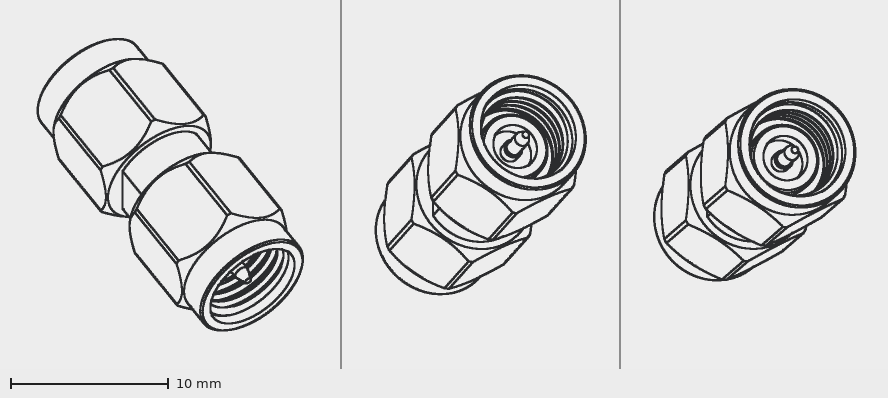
import cadquery as cq
import math

length = 19.3
half_length = length / 2

rim_dia = 7.75
rim_length = 2.0
rim_chamfer = 0.12
hex_flats = 7.93
hex_corner_dia = 9.0
hex_chamfer_length = 0.73
nut_length = 8.38

neck_dia = 6.8
neck_flats = 5.54

thread_major_dia = 6.35
thread_groove_dia = 6.31
thread_minor_dia = 5.6
thread_lead_in = 0.71
lead_in_cone_length = 0.39
thread_pitch = 0.7
thread_root = 0.14
thread_flank_angle = 30.0
thread_overlap = 0.02
thread_start_depth = 0.62
thread_turns = 4.0
socket_depth = 3.67

conductor_dia = 4.44
conductor_chamfer = 0.14
conductor_face_depth = 2.68
recess_dia = 2.91
recess_depth = 1.15

pin_dia = 0.95
pin_tip_dia = 0.45
pin_tip_depth = 0.52
pin_taper_length = 0.77
pin_shoulder_dia = 1.2
pin_shoulder_chamfer = 0.1
pin_shoulder_depth = conductor_face_depth + 0.29


def cylinder(diameter, start, end):
    """Solid cylinder on the X axis between two X positions."""
    return cq.Workplane("YZ", origin=(start, 0, 0)).circle(diameter / 2).extrude(end - start)


def revolve_profile(points):
    """Solid of revolution about the X axis from (x, radius) points."""
    return cq.Workplane("XY").polyline(points).close().revolve(360, (0, 0, 0), (1, 0, 0))


def make_nut_blank(face):
    """Hexagon with conically chamfered corners and a round rim at the open end."""
    hex_start = face + rim_length
    nut_end = face + nut_length
    across_corners = hex_flats / math.cos(math.pi / 6)
    hexagon = (
        cq.Workplane("YZ", origin=(hex_start, 0, 0))
        .transformed(rotate=(0, 0, 90))
        .polygon(6, across_corners)
        .extrude(nut_end - hex_start)
    )
    corner_limit = revolve_profile([
        (hex_start, 0),
        (hex_start, rim_dia / 2),
        (hex_start + hex_chamfer_length, hex_corner_dia / 2),
        (nut_end - hex_chamfer_length, hex_corner_dia / 2),
        (nut_end, rim_dia / 2),
        (nut_end, 0),
    ])
    rim = cylinder(rim_dia, face, hex_start).faces("<X").chamfer(rim_chamfer)
    return rim.union(hexagon.intersect(corner_limit))


def make_thread_groove(face):
    """Right-handed helical V groove with a flat root, swept along the socket."""
    half_root = thread_root / 2
    flank_slope = math.tan(math.radians(thread_flank_angle))
    inner = thread_minor_dia / 2 - thread_overlap
    outer = thread_groove_dia / 2
    half_mouth = half_root + (outer - inner) * flank_slope
    start = face + thread_start_depth
    helix = cq.Wire.makeHelix(
        thread_pitch,
        thread_turns * thread_pitch,
        inner,
        cq.Vector(0, 0, 0),
        cq.Vector(0, 0, 1),
    )
    groove = (
        cq.Workplane("XZ")
        .polyline([(inner, -half_mouth), (outer, -half_root), (outer, half_root), (inner, half_mouth)])
        .close()
        .sweep(cq.Workplane(helix), isFrenet=True)
    )
    along_x = groove.rotate((0, 0, 0), (0, 1, 0), 90)
    return along_x.translate((start, 0, 0))


def make_socket(face):
    """Cavity with a plain mouth, a conical lead-in, a threaded bore and a flat floor."""
    mouth = thread_major_dia / 2
    bore = thread_minor_dia / 2
    cone_start = face + thread_lead_in
    floor = face + socket_depth
    cavity = revolve_profile([
        (face, 0),
        (face, mouth),
        (cone_start, mouth),
        (cone_start + lead_in_cone_length, bore),
        (floor, bore),
        (floor, 0),
    ])
    return cavity.union(make_thread_groove(face))


def make_conductor(face):
    """Chamfered tube standing on the socket floor, with a blind recess."""
    front = face + conductor_face_depth
    recess_floor = front + recess_depth
    tube = cylinder(conductor_dia, front, recess_floor).faces("<X").chamfer(conductor_chamfer)
    return tube, cylinder(recess_dia, front, recess_floor)


def make_pin(face):
    """Tapered contact pin with a wider shoulder inside the recess."""
    tip = face + pin_tip_depth
    shoulder = face + pin_shoulder_depth
    base = face + conductor_face_depth + recess_depth
    return revolve_profile([
        (tip, 0),
        (tip, pin_tip_dia / 2),
        (tip + pin_taper_length, pin_dia / 2),
        (shoulder, pin_dia / 2),
        (shoulder, pin_shoulder_dia / 2 - pin_shoulder_chamfer),
        (shoulder + pin_shoulder_chamfer, pin_shoulder_dia / 2),
        (base, pin_shoulder_dia / 2),
        (base, 0),
    ])


def make_plug():
    """Complete plug at the -X end."""
    face = -half_length
    tube, recess = make_conductor(face)
    return make_nut_blank(face).cut(make_socket(face)).union(tube).cut(recess).union(make_pin(face))


def make_neck():
    """Round neck with two flats facing -Y and +Y."""
    neck_half = half_length - nut_length
    flats = cq.Workplane("XY").box(2 * neck_half, neck_flats, neck_dia)
    return cylinder(neck_dia, -neck_half, neck_half).intersect(flats)


plug = make_plug()
result = make_neck().union(plug).union(plug.rotate((0, 0, 0), (0, 0, 1), 180))